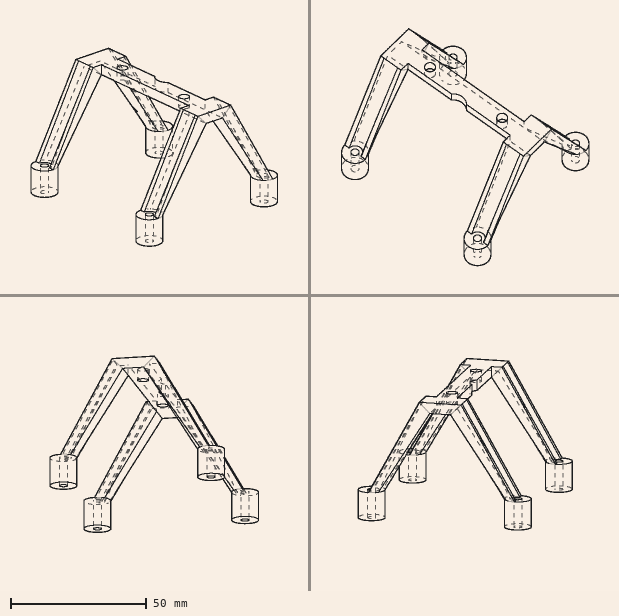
import cadquery as cq
import math

total_length = 69.5
total_depth = 65.9
total_height = 46.4
foot_diameter = 10.0
foot_height = 10.7
foot_hole_diameter = 3.0
bridge_center_y = -0.5
bridge_thickness = 4.0
bridge_width = 8.0
bridge_hole_diameter = 4.0
bridge_hole_spacing = 35.05
notch_radius = 5.0
notch_depth = 1.6
head_length = 16.0
head_width = 9.9
groove_foot_radius = 2.85
groove_head_width = 6.6

foot_radius = foot_diameter / 2
foot_x = total_length / 2 - foot_radius
foot_y = total_depth / 2 - foot_radius
bridge_bottom = total_height - bridge_thickness
bridge_edge_y = bridge_center_y + bridge_width / 2


def foot_arc_point(side, radius, angle):
    """Point on the bridge-facing half circle on top of a foot, at an angle from +X."""
    turn = math.radians(angle)
    return cq.Vector(
        foot_x + radius * math.cos(turn),
        side * (foot_y - radius * math.sin(turn)),
        foot_height,
    )


def make_foot(side):
    return cq.Workplane("XY").center(foot_x, side * foot_y).circle(foot_radius).extrude(foot_height)


def make_head():
    """Block joining two legs; its mitred ends lean inwards at 45 degrees."""
    top_front = bridge_center_y - head_length / 2
    top_back = bridge_center_y + head_length / 2
    return (
        cq.Workplane("YZ", origin=(foot_x - head_width / 2, 0, 0))
        .polyline([
            (top_front, total_height),
            (top_back, total_height),
            (top_back - bridge_thickness, bridge_bottom),
            (top_front + bridge_thickness, bridge_bottom),
        ])
        .close()
        .extrude(head_width)
    )


def make_leg_body(side):
    """Ruled transition from a half disc on the foot to the rectangular end of the head."""
    top_y = bridge_center_y + side * head_length / 2
    bottom_y = top_y - side * bridge_thickness
    right, left = foot_x + head_width / 2, foot_x - head_width / 2
    head_outline = cq.Wire.makePolygon(
        [
            cq.Vector(right, top_y, total_height),
            cq.Vector(right, bottom_y, bridge_bottom),
            cq.Vector(left, bottom_y, bridge_bottom),
            cq.Vector(left, top_y, total_height),
        ],
        close=True,
    )
    arcs = [
        cq.Edge.makeThreePointArc(
            foot_arc_point(side, foot_radius, start),
            foot_arc_point(side, foot_radius, (start + end) / 2),
            foot_arc_point(side, foot_radius, end),
        )
        for start, end in ((0, 45), (45, 135), (135, 180))
    ]
    closing_line = cq.Edge.makeLine(arcs[-1].endPoint(), arcs[0].startPoint())
    foot_outline = cq.Wire.assembleEdges(arcs + [closing_line])
    return cq.Workplane(cq.Solid.makeLoft([foot_outline, head_outline], True))


def make_leg_groove(side):
    """Trough that is a half circle at the foot and runs out to a straight line at the head."""
    top_y = bridge_center_y + side * head_length / 2
    right_foot, middle_foot, left_foot = [
        foot_arc_point(side, groove_foot_radius, angle) for angle in (0, 90, 180)
    ]
    right_head = cq.Vector(foot_x + groove_head_width / 2, top_y, total_height)
    left_head = cq.Vector(foot_x - groove_head_width / 2, top_y, total_height)
    foot_arc = cq.Edge.makeThreePointArc(right_foot, middle_foot, left_foot)
    head_line = cq.Edge.makeLine(right_head, left_head)
    foot_line = cq.Edge.makeLine(left_foot, right_foot)
    trough = cq.Face.makeRuledSurface(foot_arc, head_line)
    base = cq.Face.makeFromWires(cq.Wire.assembleEdges([foot_arc, foot_line]))
    opening = cq.Face.makeFromWires(
        cq.Wire.makePolygon([right_foot, right_head, left_head, left_foot], close=True)
    )
    return cq.Workplane(cq.Solid.makeSolid(cq.Shell.makeShell([trough, base, opening])).fix())


def make_bridge():
    """Flat bar between the heads with two mounting holes and a shallow round notch."""
    bar = (
        cq.Workplane("XY", origin=(0, bridge_center_y, bridge_bottom))
        .rect(2 * foot_x, bridge_width)
        .extrude(bridge_thickness)
    )
    holes = (
        cq.Workplane("XY", origin=(0, bridge_center_y, bridge_bottom))
        .pushPoints([(-bridge_hole_spacing / 2, 0), (bridge_hole_spacing / 2, 0)])
        .circle(bridge_hole_diameter / 2)
        .extrude(bridge_thickness)
    )
    notch = (
        cq.Workplane("XY", origin=(0, bridge_edge_y - notch_depth + notch_radius, bridge_bottom))
        .circle(notch_radius)
        .extrude(bridge_thickness)
    )
    return bar.cut(holes).cut(notch)


frame = make_head()
for leg_side in (-1, 1):
    leg = make_leg_body(leg_side).cut(make_leg_groove(leg_side))
    frame = frame.union(leg).union(make_foot(leg_side))

result = make_bridge().union(frame).union(frame.mirror("YZ"))

foot_holes = (
    cq.Workplane("XY")
    .rect(2 * foot_x, 2 * foot_y, forConstruction=True)
    .vertices()
    .circle(foot_hole_diameter / 2)
    .extrude(foot_height)
)
result = result.cut(foot_holes)